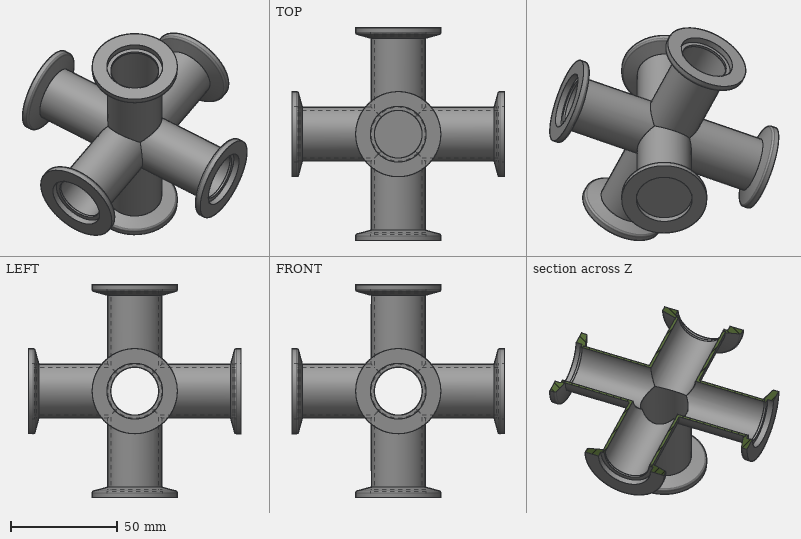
import cadquery as cq

half_span = 50.0

tube_diameter = 25.4
bore_diameter = 22.4

flange_diameter = 40.0
flange_thickness = 5.0
cone_rise = 2.0
edge_radius = 1.0
recess_diameter = 26.2
recess_depth = 2.9
socket_depth = 1.1

tube_radius = tube_diameter / 2
bore_radius = bore_diameter / 2
flange_radius = flange_diameter / 2
flange_back = half_span - flange_thickness
tube_half_length = flange_back + socket_depth

tube_axes = [(1, 0, 0), (0, 1, 0), (0, 0, 1)]
open_directions = [(1, 0, 0), (-1, 0, 0), (0, 1, 0), (0, -1, 0), (0, 0, 1)]
blank_direction = (0, 0, -1)


def make_rod(radius, axis):
    """Rod running the full length of the tube cross along one axis."""
    direction = cq.Vector(*axis)
    rod = cq.Solid.makeCylinder(radius, 2 * tube_half_length, direction * -tube_half_length, direction)
    return cq.Workplane(rod)


def make_tube_cross():
    """Three crossing tubes whose bores meet in the middle."""
    cross = make_rod(tube_radius, tube_axes[0])
    for axis in tube_axes[1:]:
        cross = cross.union(make_rod(tube_radius, axis))
    for axis in tube_axes:
        cross = cross.cut(make_rod(bore_radius, axis))
    return cross


def make_blank_flange():
    """Flange along +Z, its back at Z = 0: conical back, tube socket and recessed outer face."""
    flange = (
        cq.Workplane("XZ")
        .lineTo(tube_radius, 0)
        .lineTo(flange_radius, cone_rise)
        .lineTo(flange_radius, flange_thickness)
        .lineTo(0, flange_thickness)
        .close()
        .revolve(360, (0, 0), (0, 1))
    )
    flange = flange.edges(cq.selectors.RadiusNthSelector(-1)).edges("<Z").fillet(edge_radius)
    recess = (
        cq.Workplane("XY", origin=(0, 0, flange_thickness - recess_depth))
        .circle(recess_diameter / 2)
        .extrude(recess_depth)
    )
    socket = cq.Workplane("XY").circle(tube_radius).extrude(socket_depth)
    return flange.cut(recess).cut(socket)


def make_open_flange():
    """The same flange bored through to match the tube."""
    bore = cq.Workplane("XY").circle(bore_radius).extrude(flange_thickness)
    return make_blank_flange().cut(bore)


def place_flange(flange, direction):
    """Move a flange to the end of the branch that points along the direction."""
    end_plane = cq.Plane(origin=cq.Vector(*direction) * flange_back, normal=direction)
    return flange.solids().val().moved(cq.Location(end_plane))


tube_cross = make_tube_cross()
open_flanges = [place_flange(make_open_flange(), direction) for direction in open_directions]
blank_flange = place_flange(make_blank_flange(), blank_direction)

result = cq.Compound.makeCompound([tube_cross.solids().val(), *open_flanges, blank_flange])